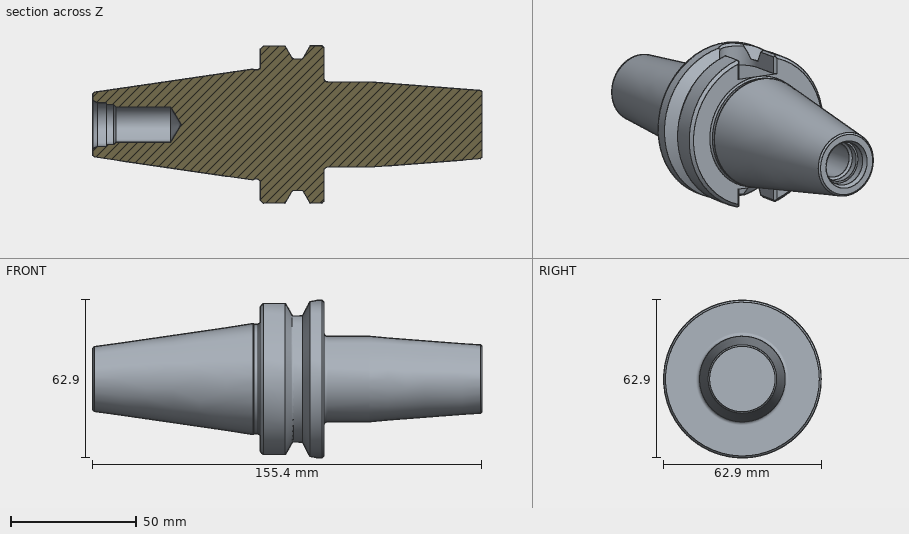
import cadquery as cq
import math

length = 155.4
taper_end = 64.0
neck_end = 65.9
flange_start = 66.8
flange_end = 92.3
groove_floor_start = 79.7
groove_floor_end = 83.8
collar_end = 110.5

taper_large_radius = 22.2
neck_radius = 21.9
flange_radius = 31.47
groove_radius = 26.4
collar_radius = 17.1
nose_radius = 13.7
taper_slope = 7 / 48
taper_small_radius = taper_large_radius - taper_end * taper_slope

end_chamfer = 0.6
root_chamfer = 0.6
flange_rear_chamfer = 1.2
flange_front_chamfer = 0.8
collar_fillet = 1.4

flank_angle = math.radians(60)
flank_length = (flange_radius - groove_radius) / math.tan(flank_angle)
groove_fillet = 0.8
groove_fillet_setback = groove_fillet * math.tan(flank_angle / 2)

slot_half_width = 8.1
slot_floor = 22.5
slot_end = 88.6
slot_chamfer = 1.1
slot_center = slot_end - slot_half_width
slot_wall_top = math.sqrt(flange_radius**2 - slot_half_width**2)
end_chamfer_height = flange_radius - slot_chamfer
cut_top = flange_radius + 1.5

bore_mouth_radius = 9.6
pilot_radius = 8.7
bore_mouth_depth = 1.9
pilot_depth = 5.5
thread_radius = 8.0
thread_minor_radius = 7.0
thread_start = 9.3
bore_depth = 31.1
drill_tip_length = thread_minor_radius / math.tan(math.radians(59))


def make_body():
    """Revolve the taper, grooved flange, collar and conical nose."""
    fillet_offset = collar_fillet * (1 - math.sqrt(0.5))
    fillet_center_x = groove_floor_start + groove_fillet_setback
    return (
        cq.Workplane("XY")
        .moveTo(0, 0)
        .lineTo(0, taper_small_radius - end_chamfer)
        .lineTo(end_chamfer, taper_small_radius + end_chamfer * taper_slope)
        .lineTo(taper_end, taper_large_radius)
        .lineTo(taper_end + taper_large_radius - neck_radius, neck_radius)
        .lineTo(neck_end, neck_radius)
        .lineTo(flange_start, neck_radius + root_chamfer)
        .lineTo(flange_start, flange_radius - flange_rear_chamfer)
        .lineTo(flange_start + flange_rear_chamfer, flange_radius)
        .lineTo(groove_floor_start - flank_length, flange_radius)
        .lineTo(
            groove_floor_start - groove_fillet_setback * math.cos(flank_angle),
            groove_radius + groove_fillet_setback * math.sin(flank_angle),
        )
        .threePointArc(
            (
                fillet_center_x - groove_fillet * math.sin(flank_angle / 2),
                groove_radius + groove_fillet * (1 - math.cos(flank_angle / 2)),
            ),
            (fillet_center_x, groove_radius),
        )
        .lineTo(groove_floor_end, groove_radius)
        .lineTo(groove_floor_end + flank_length, flange_radius)
        .lineTo(flange_end - flange_front_chamfer, flange_radius)
        .lineTo(flange_end, flange_radius - flange_front_chamfer)
        .lineTo(flange_end, collar_radius + collar_fillet)
        .threePointArc(
            (flange_end + fillet_offset, collar_radius + fillet_offset),
            (flange_end + collar_fillet, collar_radius),
        )
        .lineTo(collar_end, collar_radius)
        .lineTo(length - end_chamfer, nose_radius)
        .lineTo(length, nose_radius - end_chamfer)
        .lineTo(length, 0)
        .close()
        .revolve(360, (0, 0, 0), (1, 0, 0))
    )


def make_bore():
    """Stepped bore with a countersunk mouth and a conical drill tip."""
    return (
        cq.Workplane("XY")
        .moveTo(0, 0)
        .lineTo(0, bore_mouth_radius)
        .lineTo(bore_mouth_depth, pilot_radius)
        .lineTo(pilot_depth, pilot_radius)
        .lineTo(pilot_depth, thread_radius)
        .lineTo(thread_start - thread_radius + thread_minor_radius, thread_radius)
        .lineTo(thread_start, thread_minor_radius)
        .lineTo(bore_depth, thread_minor_radius)
        .lineTo(bore_depth + drill_tip_length, 0)
        .close()
        .revolve(360, (0, 0, 0), (1, 0, 0))
    )


def make_slot_cutter():
    """Round-ended slot above the axis, with its mouth and top edges chamfered."""
    height = cut_top - slot_floor
    mouth_half_width = slot_half_width + slot_chamfer
    slot = (
        cq.Workplane("XY", origin=(0, 0, slot_floor))
        .moveTo(flange_start, -mouth_half_width)
        .lineTo(flange_start + slot_chamfer, -slot_half_width)
        .lineTo(slot_center, -slot_half_width)
        .threePointArc((slot_end, 0), (slot_center, slot_half_width))
        .lineTo(flange_start + slot_chamfer, slot_half_width)
        .lineTo(flange_start, mouth_half_width)
        .close()
        .extrude(height)
    )

    chamfer_bottom = slot_wall_top - slot_chamfer
    chamfer_spread = slot_half_width + cut_top - chamfer_bottom
    edge_chamfer = (
        cq.Workplane("YZ", origin=(flange_start, 0, 0))
        .polyline([
            (-slot_half_width, chamfer_bottom),
            (slot_half_width, chamfer_bottom),
            (chamfer_spread, cut_top),
            (-chamfer_spread, cut_top),
        ])
        .close()
        .extrude(groove_floor_start - flange_start)
    )

    end_chamfer_cone = cq.Workplane(obj=cq.Solid.makeCone(
        slot_half_width,
        slot_half_width + cut_top - end_chamfer_height,
        cut_top - end_chamfer_height,
        cq.Vector(slot_center, 0, end_chamfer_height),
        cq.Vector(0, 0, 1),
    ))
    return slot.union(edge_chamfer).union(end_chamfer_cone)


result = make_body().cut(make_bore())
slot_cutter = make_slot_cutter()
for slot_angle in (0, 180):
    result = result.cut(slot_cutter.rotate((0, 0, 0), (1, 0, 0), slot_angle))